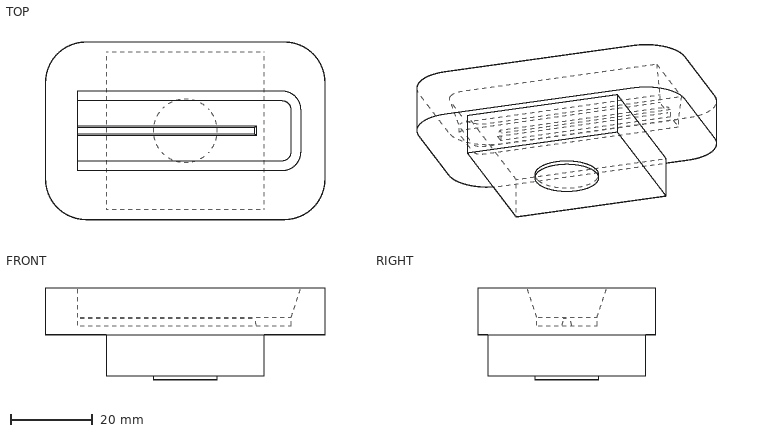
import cadquery as cq

plate_length = 68.4
plate_width = 43.5
plate_thickness = 11.5
plate_corner_radius = 10.0
block_side = 38.6
block_height = 10.1
disc_diameter = 15.6
disc_height = 0.9

pocket_left = -26.3
pocket_right = 28.25
pocket_width = 19.5
pocket_corner_radius = 4.6
taper_inset = 2.4
taper_depth = 7.25
straight_depth = 2.05

rib_right = 17.4
rib_width = 2.4
rib_height = 1.8
rib_inset = 0.4

block_bottom = disc_height
plate_bottom = block_bottom + block_height
plate_top = plate_bottom + plate_thickness
taper_bottom = plate_top - taper_depth
pocket_floor = taper_bottom - straight_depth


def pocket_outline(height, inset):
    """Pocket wire: square left end, rounded right end, inset on all sides but the left."""
    right = pocket_right - inset
    half_width = pocket_width / 2 - inset
    radius = pocket_corner_radius - inset
    straight_end = right - radius
    return (
        cq.Workplane("XY", origin=(0, 0, height))
        .moveTo(pocket_left, -half_width)
        .lineTo(straight_end, -half_width)
        .radiusArc((right, -half_width + radius), -radius)
        .lineTo(right, half_width - radius)
        .radiusArc((straight_end, half_width), -radius)
        .lineTo(pocket_left, half_width)
        .close()
    )


def pocket():
    tapered_part = cq.Workplane(
        cq.Solid.makeLoft(
            [
                pocket_outline(taper_bottom, taper_inset).val(),
                pocket_outline(plate_top, 0).val(),
            ],
            True,
        )
    )
    straight_part = pocket_outline(pocket_floor, taper_inset).extrude(straight_depth)
    return tapered_part.union(straight_part)


def rib_outline(height, inset):
    """Rectangular rib wire, inset at its sides and its right end."""
    length = rib_right - inset - pocket_left
    return (
        cq.Workplane("XY", origin=(pocket_left + length / 2, 0, height))
        .rect(length, rib_width - 2 * inset)
        .wires()
        .val()
    )


def rib():
    base = rib_outline(pocket_floor, 0)
    crest = rib_outline(pocket_floor + rib_height, rib_inset)
    return cq.Workplane(cq.Solid.makeLoft([base, crest], True))


plate = (
    cq.Workplane("XY", origin=(0, 0, plate_bottom))
    .rect(plate_length, plate_width)
    .extrude(plate_thickness)
    .edges("|Z")
    .fillet(plate_corner_radius)
)
block = (
    cq.Workplane("XY", origin=(0, 0, block_bottom))
    .rect(block_side, block_side)
    .extrude(block_height)
)
disc = cq.Workplane("XY").circle(disc_diameter / 2).extrude(disc_height)

result = plate.union(block).union(disc).cut(pocket()).union(rib())